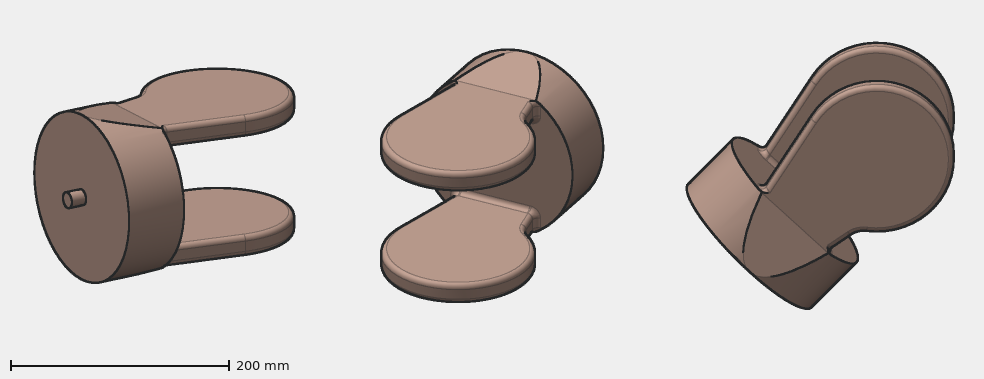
import cadquery as cq
import math

overall_length = 242

drum_diameter = 160.0
drum_radius = drum_diameter / 2
drum_depth = 60.0

stub_diameter = 15.0
stub_length = 15.5

paddle_thickness = 20.0
paddle_outer_height = 68.0
head_radius = 70.7
head_offset = -12.3
head_centre_y = overall_length - stub_length - head_radius
neck_angle = math.radians(11.3)
neck_fillet = 20.0
edge_fillet = 5.0
root_fillet = 5.0


def make_drum():
    """Cylinder whose flats slope inward to meet the outer faces of the paddles."""
    cylinder = cq.Workplane("XZ").circle(drum_radius).extrude(-drum_depth)
    wedge = (
        cq.Workplane("YZ")
        .polyline([
            (0, -drum_radius),
            (0, drum_radius),
            (drum_depth, paddle_outer_height),
            (drum_depth, -paddle_outer_height),
        ])
        .close()
        .extrude(drum_radius, both=True)
    )
    return cylinder.intersect(wedge)


def make_paddle():
    """Upper paddle: an offset round head blended into a tapered neck."""
    tangent_x = head_offset + head_radius * math.cos(neck_angle)
    tangent_y = head_centre_y - head_radius * math.sin(neck_angle)
    slope = math.tan(neck_angle)
    root_half_width = tangent_x - slope * (tangent_y - drum_depth)

    line_x_at_centre = -root_half_width - slope * (head_centre_y - drum_depth)
    line_gap = (head_offset - line_x_at_centre) * math.cos(neck_angle)
    half_chord = math.sqrt(head_radius ** 2 - line_gap ** 2)
    crossing_x = head_offset - line_gap * math.cos(neck_angle) + half_chord * math.sin(neck_angle)
    crossing_y = head_centre_y - line_gap * math.sin(neck_angle) - half_chord * math.cos(neck_angle)

    blank = (
        cq.Workplane("XY", origin=(0, 0, paddle_outer_height - paddle_thickness))
        .moveTo(-root_half_width, drum_depth)
        .lineTo(root_half_width, drum_depth)
        .lineTo(tangent_x, tangent_y)
        .threePointArc((head_offset, head_centre_y + head_radius), (crossing_x, crossing_y))
        .close()
        .extrude(paddle_thickness)
    )
    neck_corner = cq.selectors.NearestToPointSelector(
        (crossing_x, crossing_y, paddle_outer_height - paddle_thickness / 2)
    )
    blended = blank.edges("|Z").edges(neck_corner).fillet(neck_fillet)
    rounded = blended.faces("|Z").edges("not <Y").fillet(edge_fillet)
    return rounded.union(make_root(rounded))


def make_root(paddle):
    """Foot of a paddle, flared onto the drum and trimmed to its back face."""
    slab_size = 2 * drum_diameter
    slab = (
        cq.Workplane("XZ", origin=(0, drum_depth, 0))
        .rect(slab_size, slab_size)
        .extrude(drum_depth)
    )
    root_zone = cq.selectors.BoxSelector(
        (-drum_radius, drum_depth - edge_fillet, 0),
        (drum_radius, drum_depth + edge_fillet / 2, drum_radius),
    )
    flared = slab.union(paddle).edges(root_zone).fillet(root_fillet)
    trim = (
        cq.Workplane("XZ", origin=(0, drum_depth, 0))
        .circle(drum_radius)
        .extrude(-2 * root_fillet)
        .intersect(
            cq.Workplane("XY")
            .rect(slab_size, slab_size)
            .extrude(paddle_outer_height)
        )
    )
    return flared.intersect(trim)


upper_paddle = make_paddle()
lower_paddle = upper_paddle.mirror("XY")
stub = cq.Workplane("XZ").circle(stub_diameter / 2).extrude(stub_length)
result = make_drum().union(stub).union(upper_paddle).union(lower_paddle)